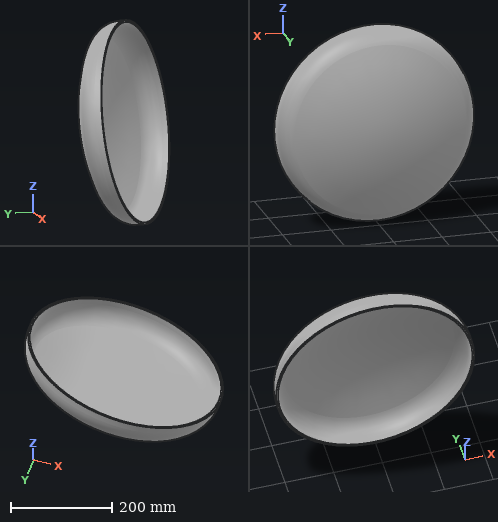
import cadquery as cq
import math

outer_diameter = 406.5
wall = 4.0
flange_length = 14.0
crown_radius = outer_diameter
knuckle_radius = 0.1 * outer_diameter

outer_radius = outer_diameter / 2
inner_radius = outer_radius - wall

knuckle_center_x = inner_radius - knuckle_radius
tangent_angle = math.asin(knuckle_center_x / (crown_radius - knuckle_radius))
crown_center_y = flange_length - (crown_radius - knuckle_radius) * math.cos(tangent_angle)
knuckle_mid_angle = (tangent_angle + math.pi / 2) / 2


def crown_point(angle, offset):
    """Point on the crown, at an angle from the axis and an offset outside the inner face."""
    radius = crown_radius + offset
    return radius * math.sin(angle), crown_center_y + radius * math.cos(angle)


def knuckle_point(angle, offset):
    """Point on the knuckle, at an angle from the axis and an offset outside the inner face."""
    radius = knuckle_radius + offset
    return knuckle_center_x + radius * math.sin(angle), flange_length + radius * math.cos(angle)


section = (
    cq.Workplane("XY")
    .moveTo(inner_radius, 0)
    .lineTo(outer_radius, 0)
    .lineTo(outer_radius, flange_length)
    .threePointArc(knuckle_point(knuckle_mid_angle, wall), knuckle_point(tangent_angle, wall))
    .threePointArc(crown_point(tangent_angle / 2, wall), crown_point(0, wall))
    .lineTo(*crown_point(0, 0))
    .threePointArc(crown_point(tangent_angle / 2, 0), crown_point(tangent_angle, 0))
    .threePointArc(knuckle_point(knuckle_mid_angle, 0), knuckle_point(math.pi / 2, 0))
    .close()
)

result = section.revolve(360, (0, 0, 0), (0, 1, 0))